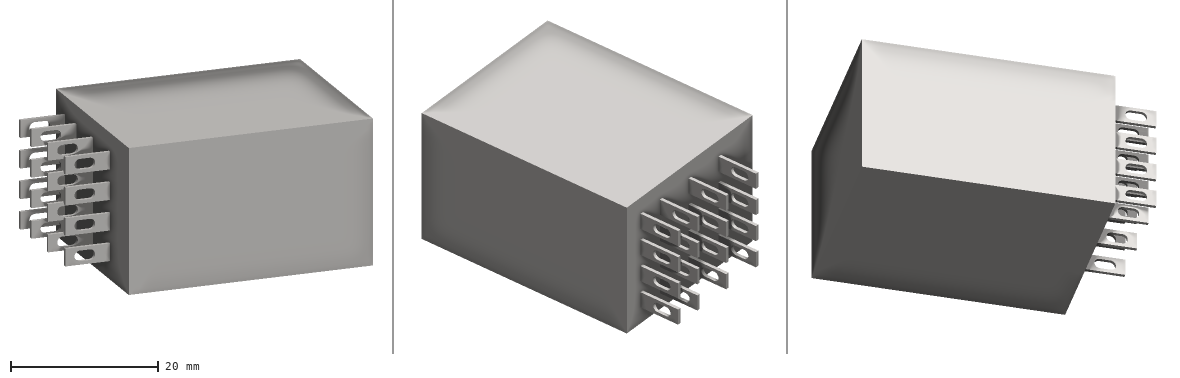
import cadquery as cq

overall_length = 42.0
width = 27.5
height = 21.0
pin_length = 6.5
housing_length = overall_length - pin_length

pin_thickness = 0.5
pin_height = 2.5
row_pitch = 4.35
row_count = 4
column_positions = [-10.5, -6.3, 0.0, 6.5]

eyelet_length = 3.0
eyelet_height = 1.5
eyelet_distance = 3.7


def make_housing():
    """Block with its pin face on Y = 0, centred on X and Z."""
    return cq.Workplane("XY").box(width, housing_length, height, centered=(True, False, True))


def make_pin():
    """One pin standing out from Y = 0 towards -Y, centred on X and Z."""
    blade = cq.Workplane("XY").box(pin_thickness, pin_length, pin_height).translate((0, -pin_length / 2, 0))
    eyelet = (
        cq.Workplane("YZ")
        .center(-eyelet_distance, 0)
        .slot2D(eyelet_length, eyelet_height)
        .extrude(pin_thickness, both=True)
    )
    return blade.cut(eyelet)


result = make_housing()
pin = make_pin()
bottom_row = -row_pitch * (row_count - 1) / 2
for x in column_positions:
    for row in range(row_count):
        z = bottom_row + row * row_pitch
        result = result.union(pin.translate((x, 0, z)))